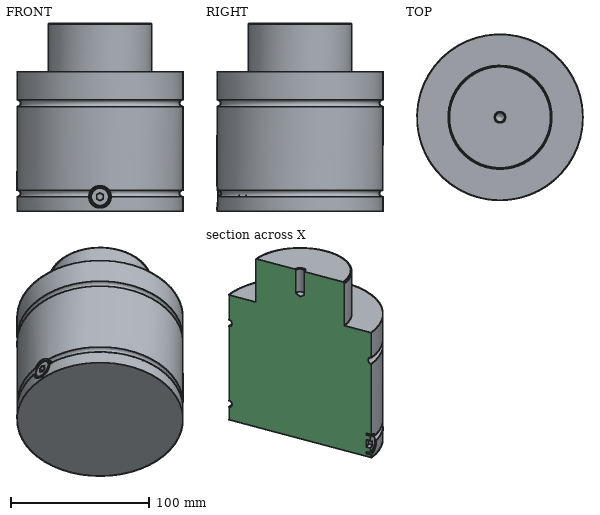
import cadquery as cq
import math

body_diameter = 120.0
body_radius = body_diameter / 2
body_height = 101.0
total_height = 136

rod_diameter = 75.0
rod_chamfer = 1.0

groove_radius = 2.5
groove_heights = (13.0, 78.2)

hole_diameter = 6.8
hole_mouth_diameter = 8.0
hole_depth = 19
drill_point_angle = 118

port_height = 10.6
port_diameter = 16.0
port_depth = 4.1
plug_diameter = 14.0
plug_chamfer = 0.7
plug_setback = 0.5
socket_flats = 4.9
socket_depth = 3.4


def make_body_and_rod():
    body = cq.Workplane("XY").circle(body_radius).extrude(body_height)
    rod = cq.Workplane("XY").circle(rod_diameter / 2).extrude(total_height)
    return body.union(rod.faces(">Z").chamfer(rod_chamfer))


def make_groove(height):
    ring = cq.Solid.makeTorus(body_radius, groove_radius, cq.Vector(0, 0, height))
    return cq.Workplane("XY").add(ring)


def make_rod_hole():
    radius = hole_diameter / 2
    mouth_radius = hole_mouth_diameter / 2
    mouth_depth = mouth_radius - radius
    point_length = radius / math.tan(math.radians(drill_point_angle / 2))
    return (
        cq.Workplane("XZ")
        .moveTo(0, total_height)
        .lineTo(mouth_radius, total_height)
        .lineTo(radius, total_height - mouth_depth)
        .lineTo(radius, total_height - hole_depth)
        .lineTo(0, total_height - hole_depth - point_length)
        .close()
        .revolve(360, (0, 0), (0, 1))
    )


def port_plane(distance_from_axis):
    """Vertical plane facing -Y, centred on the port axis."""
    return cq.Workplane("XZ", origin=(0, -distance_from_axis, port_height))


def make_port():
    return port_plane(body_radius - port_depth).circle(port_diameter / 2).extrude(port_depth)


def make_plug():
    plug_length = port_depth - plug_setback
    plug = port_plane(body_radius - port_depth).circle(plug_diameter / 2).extrude(plug_length)
    plug = plug.faces("<Y").chamfer(plug_chamfer)
    socket_corners = socket_flats / math.cos(math.pi / 6)
    socket = (
        port_plane(body_radius - plug_setback)
        .transformed(rotate=(0, 0, 90))
        .polygon(6, socket_corners)
        .extrude(-socket_depth)
    )
    return plug.cut(socket)


result = make_body_and_rod().cut(make_rod_hole())
for groove_height in groove_heights:
    result = result.cut(make_groove(groove_height))
result = result.cut(make_port()).union(make_plug())